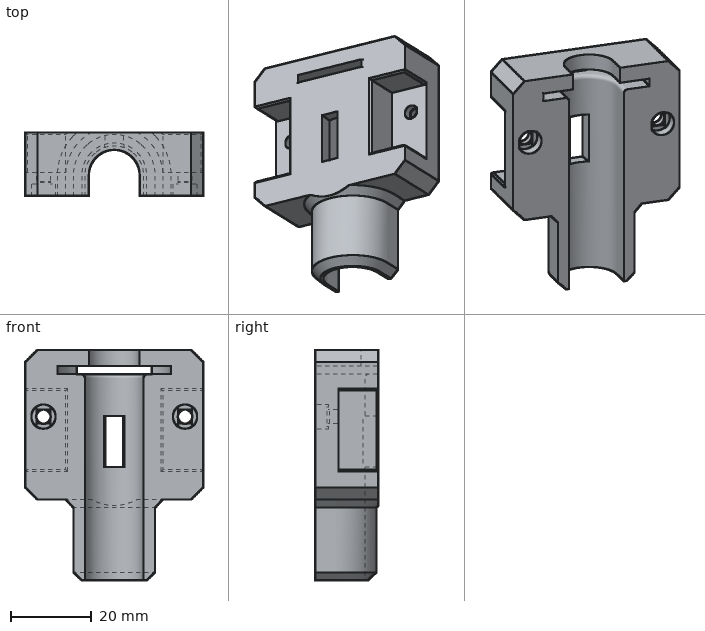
import cadquery as cq

AXIS_DEPTH = 5.1
TOTAL_HEIGHT = 57.0

BODY_WIDTH = 44.0
BODY_HEIGHT = 37.0
BODY_DEPTH = 15.68
AXIS_TO_BACK = BODY_DEPTH - AXIS_DEPTH
BODY_CHAMFER = 3.0

NECK_RADIUS = 10.1
FLARE_RADIUS = 12.0
FLARE_HEIGHT = 2.0
TIP_RADIUS = 8.0
TIP_HEIGHT = 2.0

FLANGE_RADIUS = 14.05
FLANGE_TOP = 4.0
FLANGE_BOTTOM = 6.0
TOP_BORE_RADIUS = 6.25
BORE_RADIUS = 7.25
BORE_LIP_RADIUS = 1.0

WINDOW_BORE_WIDTH = 4.9
WINDOW_BACK_WIDTH = 4.4
WINDOW_HEIGHT = 12.5
WINDOW_TOP = 16.4

POCKET_TOP = 10.1
POCKET_HEIGHT = 19.5
POCKET_DEPTH = 9.85
POCKET_WALL_X = 12.0
POCKET_CHAMFER = 0.5

SCREW_X = 17.5
SCREW_DROP = 16.5
SCREW_DIAMETER = 3.5
HEAD_DIAMETER = 6.0
HEAD_DEPTH = 3.0
TRANSITION_STEP = 0.3


def channel(radius, top_drop, bottom_drop):
    """Vertical U-shaped solid: round about the bore axis, straight flanks out to y = 0."""
    return (
        cq.Workplane("XY", origin=(0, 0, -bottom_drop))
        .moveTo(-radius, 0)
        .lineTo(-radius, AXIS_DEPTH)
        .threePointArc((0, AXIS_DEPTH + radius), (radius, AXIS_DEPTH))
        .lineTo(radius, 0)
        .close()
        .extrude(bottom_drop - top_drop)
    )


def make_body():
    return (
        cq.Workplane("XY", origin=(0, 0, -BODY_HEIGHT))
        .box(BODY_WIDTH, BODY_DEPTH, BODY_HEIGHT, centered=(True, False, False))
        .edges("|Y")
        .chamfer(BODY_CHAMFER)
    )


def tapered_channel(top_radius, top_drop, bottom_radius, bottom_drop):
    """U-shaped solid like channel(), with its radius changing from top to bottom."""
    height = bottom_drop - top_drop
    cone = cq.Solid.makeCone(
        bottom_radius, top_radius, height, pnt=cq.Vector(0, AXIS_DEPTH, -bottom_drop)
    )
    flanks = (
        cq.Workplane("XZ")
        .polyline(
            [
                (-top_radius, -top_drop),
                (top_radius, -top_drop),
                (bottom_radius, -bottom_drop),
                (-bottom_radius, -bottom_drop),
            ]
        )
        .close()
        .extrude(-AXIS_DEPTH)
    )
    back_half = (
        cq.Workplane("XY", origin=(0, AXIS_DEPTH, -bottom_drop))
        .box(BODY_WIDTH, AXIS_TO_BACK, height, centered=(True, False, False))
        .intersect(cq.Workplane(cone))
    )
    return flanks.union(back_half)


def make_neck():
    flare_end = BODY_HEIGHT + FLARE_HEIGHT
    tip_start = TOTAL_HEIGHT - TIP_HEIGHT
    flare = tapered_channel(FLARE_RADIUS, BODY_HEIGHT, NECK_RADIUS, flare_end)
    shaft = channel(NECK_RADIUS, flare_end, tip_start)
    tip = tapered_channel(NECK_RADIUS, tip_start, TIP_RADIUS, TOTAL_HEIGHT)
    return flare.union(shaft).union(tip)


def round_bore_lip(part):
    """Round the bore's upper rim, where it opens into the flange slot."""
    reach = BORE_RADIUS + BORE_LIP_RADIUS
    half_lip = BORE_LIP_RADIUS / 2
    rim_zone = cq.selectors.BoxSelector(
        (-reach, half_lip, -FLANGE_BOTTOM - half_lip),
        (reach, AXIS_DEPTH + reach, -FLANGE_BOTTOM + half_lip),
    )
    return part.edges(rim_zone).fillet(BORE_LIP_RADIUS)


def make_window():
    """Window whose side walls close in slightly from the bore towards the back."""
    bore_wall = AXIS_DEPTH + BORE_RADIUS
    slope = (WINDOW_BORE_WIDTH - WINDOW_BACK_WIDTH) / (BODY_DEPTH - bore_wall)
    half_at_back = WINDOW_BACK_WIDTH / 2
    half_at_axis = (WINDOW_BACK_WIDTH + slope * AXIS_TO_BACK) / 2
    return (
        cq.Workplane("XY", origin=(0, 0, -WINDOW_TOP - WINDOW_HEIGHT))
        .polyline(
            [
                (-half_at_axis, AXIS_DEPTH),
                (half_at_axis, AXIS_DEPTH),
                (half_at_back, BODY_DEPTH),
                (-half_at_back, BODY_DEPTH),
            ]
        )
        .close()
        .extrude(WINDOW_HEIGHT)
    )


def make_pocket(side):
    """Pocket with chamfered rims on the back and side faces; side is -1 or +1 along X."""
    front = BODY_DEPTH - POCKET_DEPTH
    width = BODY_WIDTH / 2 - POCKET_WALL_X
    bottom = -POCKET_TOP - POCKET_HEIGHT
    middle_x = side * (POCKET_WALL_X + width / 2)
    pocket = cq.Workplane("XY", origin=(middle_x, front, bottom)).box(
        width, POCKET_DEPTH, POCKET_HEIGHT, centered=(True, False, False)
    )
    rim_height = POCKET_HEIGHT + 2 * POCKET_CHAMFER
    middle_z = bottom + POCKET_HEIGHT / 2
    side_x = side * BODY_WIDTH / 2
    side_rim = (
        cq.Workplane("YZ", origin=(side_x, front + POCKET_DEPTH / 2, middle_z))
        .rect(POCKET_DEPTH, rim_height)
        .workplane(offset=-side * POCKET_CHAMFER)
        .rect(POCKET_DEPTH, POCKET_HEIGHT)
        .loft(ruled=True)
    )
    back_rim = (
        cq.Workplane("XZ", origin=(side_x, BODY_DEPTH, middle_z))
        .rect(2 * (width + POCKET_CHAMFER), rim_height)
        .workplane(offset=POCKET_CHAMFER)
        .rect(2 * width, POCKET_HEIGHT)
        .loft(ruled=True)
    )
    return pocket.union(side_rim).union(back_rim)


def make_screw_hole(side):
    """Stepped hole along Y; side is -1 or +1 along X."""
    head_radius = HEAD_DIAMETER / 2
    face = cq.Workplane("XZ", origin=(side * SCREW_X, 0, -SCREW_DROP))
    slot_depth = HEAD_DEPTH + TRANSITION_STEP
    square_depth = slot_depth + TRANSITION_STEP
    head = face.circle(head_radius).extrude(-HEAD_DEPTH)
    slot = (
        face.circle(head_radius)
        .extrude(-slot_depth)
        .intersect(face.rect(SCREW_DIAMETER, HEAD_DIAMETER).extrude(-slot_depth))
    )
    square = face.rect(SCREW_DIAMETER, SCREW_DIAMETER).extrude(-square_depth)
    shank = face.circle(SCREW_DIAMETER / 2).extrude(-BODY_DEPTH)
    return head.union(slot).union(square).union(shank)


result = make_body().union(make_neck())
result = result.cut(channel(BORE_RADIUS, FLANGE_BOTTOM, TOTAL_HEIGHT))
result = result.cut(channel(FLANGE_RADIUS, FLANGE_TOP, FLANGE_BOTTOM))
result = round_bore_lip(result)
result = result.cut(channel(TOP_BORE_RADIUS, 0, FLANGE_TOP))
result = result.cut(make_window())
for side in (-1, 1):
    result = result.cut(make_pocket(side))
    result = result.cut(make_screw_hole(side))